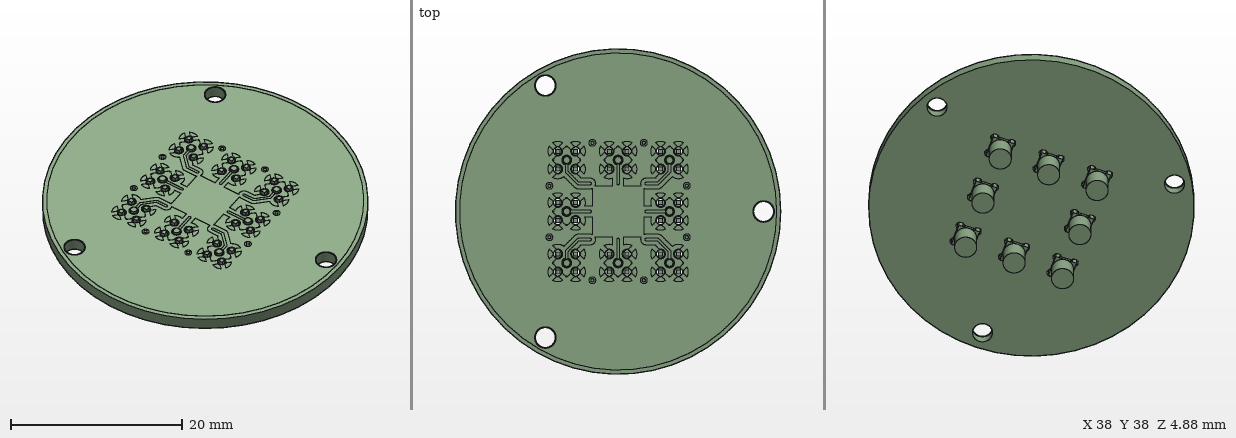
import cadquery as cq
import math

BOARD_DIAMETER = 38.0
BOARD_THICKNESS = 1.6
COPPER_THICKNESS = 0.02
COPPER_DIAMETER = 37.0
MOUNT_HOLE_COUNT = 3
MOUNT_HOLE_DIAMETER = 2.3
MOUNT_CLEARANCE_DIAMETER = 2.5
MOUNT_CIRCLE_RADIUS = 17.0

PITCH = 6.0
BODY_WIDTH = 2.6
FLANGE_THICKNESS = 0.45
BARREL_LENGTH = 2.6
LEG_WIDTH = 0.5
LEG_OFFSET = (BODY_WIDTH - LEG_WIDTH) / 2
SIGNAL_PIN_DIAMETER = 0.8
PIN_PROTRUSION = 0.23
PIN_LENGTH = BOARD_THICKNESS + PIN_PROTRUSION

PIN_HOLE_DIAMETER = 0.95
PAD_DIAMETER = 1.15
RELIEF_DIAMETER = 2.28
SPOKE_WIDTH = 0.57
SPOKE_REACH = 1.25

TRACE_WIDTH = 0.3
CHANNEL_WIDTH = 1.25
TRACE_END = 3.25
BEND_LENGTH = 1.35
WINDOW_WIDTH = PITCH

MARK_DOT_DIAMETER = 0.38
MARK_CLEARANCE_DIAMETER = 0.8
MARK_NEAR = PITCH / 2
MARK_FAR = 8.0

COPPER_BASE = BOARD_THICKNESS - COPPER_THICKNESS
GROUND_PINS = [(sx * LEG_OFFSET, sy * LEG_OFFSET) for sx in (-1, 1) for sy in (-1, 1)]

CONNECTORS = [
    ((-PITCH, PITCH), 0),
    ((0, PITCH), 0),
    ((PITCH, PITCH), 0),
    ((-PITCH, 0), 90),
    ((PITCH, 0), -90),
    ((-PITCH, -PITCH), 180),
    ((0, -PITCH), 180),
    ((PITCH, -PITCH), 180),
]


def copper_plane():
    return cq.Workplane("XY").workplane(offset=COPPER_BASE)


def copper_discs(points, diameter):
    discs = cq.Workplane("XY")
    for point in points:
        disc = copper_plane().center(*point).circle(diameter / 2).extrude(COPPER_THICKNESS)
        discs = discs.union(disc)
    return discs


def board_holes(points, diameter):
    return cq.Workplane("XY").pushPoints(points).circle(diameter / 2).extrude(BOARD_THICKNESS)


def placed(shape, centre, turn):
    return shape.rotate((0, 0, 0), (0, 0, 1), turn).translate((*centre, 0))


def track(points, width):
    """Copper-thick path of constant width with round ends and round outer bends."""
    path = cq.Workplane("XY")
    for (x0, y0), (x1, y1) in zip(points, points[1:]):
        length = math.hypot(x1 - x0, y1 - y0)
        angle = math.degrees(math.atan2(y1 - y0, x1 - x0))
        slot = copper_plane().slot2D(length + width, width).extrude(COPPER_THICKNESS)
        path = path.union(placed(slot, ((x0 + x1) / 2, (y0 + y1) / 2), angle))
    return path


def trace_points(centre):
    """Centre line of a trace from its signal pin to the clear window."""
    x, y = centre
    side_x = math.copysign(1, x)
    side_y = math.copysign(1, y)
    if x == 0:
        return [centre, (0, side_y * TRACE_END)]
    if y == 0:
        return [centre, (side_x * TRACE_END, 0)]
    return [
        centre,
        (x, side_y * (TRACE_END + BEND_LENGTH)),
        (x - side_x * BEND_LENGTH, side_y * TRACE_END),
        (side_x * TRACE_END, side_y * TRACE_END),
    ]


def channel_points(centre):
    """Centre line of a trace channel; a straight channel opens squarely into the clear window."""
    if 0 in centre:
        return [centre, (0, 0)]
    return trace_points(centre)


def relief_spokes():
    """Diagonal bridges from the ground pads outward, none across the trace exit on the -Y side."""
    bar = copper_plane().center(SPOKE_REACH / 2, 0).rect(SPOKE_REACH, SPOKE_WIDTH).extrude(COPPER_THICKNESS)
    spokes = cq.Workplane("XY")
    for x, y in GROUND_PINS:
        for way_x in (-1, 1):
            for way_y in (-1, 1):
                toward_signal = x * way_x < 0 and y * way_y < 0
                across_exit = y < 0 and way_y < 0 and x * way_x < 0
                if toward_signal or across_exit:
                    continue
                angle = math.degrees(math.atan2(way_y, way_x))
                spokes = spokes.add(placed(bar, (x, y), angle))
    return spokes.combine()


def make_clearance():
    """Areas without copper: window, trace channels, reliefs and marks."""
    all_pins = [(0, 0), *GROUND_PINS]
    relief = copper_discs(all_pins, RELIEF_DIAMETER).cut(relief_spokes())
    pads = copper_discs(all_pins, PAD_DIAMETER)
    bare = copper_plane().rect(WINDOW_WIDTH, WINDOW_WIDTH).extrude(COPPER_THICKNESS)
    islands = []
    for centre, turn in CONNECTORS:
        bare = bare.union(placed(relief, centre, turn), clean=False)
        bare = bare.union(track(channel_points(centre), CHANNEL_WIDTH), clean=False)
        trace = track(trace_points(centre), TRACE_WIDTH)
        islands.append(placed(pads, centre, turn).union(trace, clean=False))
    for island in islands:
        bare = bare.cut(island, clean=False)
    marks = []
    for sx in (-1, 1):
        for sy in (-1, 1):
            marks.append((sx * MARK_NEAR, sy * MARK_FAR))
            marks.append((sx * MARK_FAR, sy * MARK_NEAR))
    rings = copper_discs(marks, MARK_CLEARANCE_DIAMETER).cut(copper_discs(marks, MARK_DOT_DIAMETER))
    return bare.union(rings)


def make_board():
    laminate = cq.Workplane("XY").circle(BOARD_DIAMETER / 2).extrude(COPPER_BASE)
    copper = copper_discs([(0, 0)], COPPER_DIAMETER).cut(make_clearance())
    mount_step = 2 * math.pi / MOUNT_HOLE_COUNT
    mount_points = [
        (MOUNT_CIRCLE_RADIUS * math.cos(i * mount_step), MOUNT_CIRCLE_RADIUS * math.sin(i * mount_step))
        for i in range(MOUNT_HOLE_COUNT)
    ]
    copper = copper.cut(copper_discs(mount_points, MOUNT_CLEARANCE_DIAMETER))
    pin_points = [
        (cx + x, cy + y) for (cx, cy), _ in CONNECTORS for x, y in [(0, 0), *GROUND_PINS]
    ]
    mount_holes = board_holes(mount_points, MOUNT_HOLE_DIAMETER)
    pin_holes = board_holes(pin_points, PIN_HOLE_DIAMETER)
    return laminate.union(copper).cut(mount_holes).cut(pin_holes)


def make_connector(centre):
    """Square flange under the board, barrel below it, four legs and a signal pin through the board."""
    flange = cq.Workplane("XY").rect(BODY_WIDTH, BODY_WIDTH).extrude(-FLANGE_THICKNESS)
    barrel = (
        cq.Workplane("XY")
        .workplane(offset=-FLANGE_THICKNESS)
        .circle(BODY_WIDTH / 2)
        .extrude(-BARREL_LENGTH)
    )
    legs = cq.Workplane("XY").pushPoints(GROUND_PINS).rect(LEG_WIDTH, LEG_WIDTH).extrude(PIN_LENGTH)
    signal_pin = cq.Workplane("XY").circle(SIGNAL_PIN_DIAMETER / 2).extrude(PIN_LENGTH)
    return flange.union(barrel).union(legs).union(signal_pin).translate((*centre, 0))


board = make_board()
connectors = [make_connector(centre) for centre, _ in CONNECTORS]

result = cq.Compound.makeCompound(
    [board.solids().val(), *[connector.solids().val() for connector in connectors]]
)